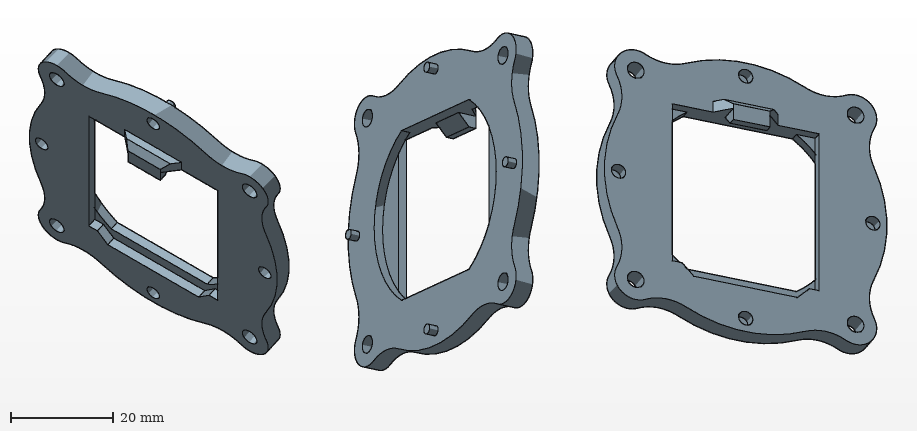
import cadquery as cq
import math

PLATE_THICKNESS = 4.0
SIDES = 4
RIM_RADIUS = 30.0
LOBE_RADIUS = 4.5
BLEND_RADIUS = 10.0
HOLE_CIRCLE_RADIUS = 33.0
HOLE_DIAMETER = 3.5
HOLE_OFFSET = HOLE_CIRCLE_RADIUS * math.sqrt(0.5)

PIN_CIRCLE_RADIUS = 27.0
PIN_DIAMETER = 2.0
PIN_LENGTH = 2.0
SOCKET_DIAMETER = 3.0
SOCKET_DEPTH = 2.5

WINDOW_WIDTH = 31.2
WINDOW_HEIGHT = 35.0
WINDOW_STEP_DEPTH = 2.0
BACK_OPENING_RADIUS = 21.0
WINDOW_HALF_HEIGHT = WINDOW_HEIGHT / 2

NOTCH_HEIGHT = 2.5
NOTCH_FLOOR_WIDTH = 22.0

CLIP_PROJECTION = 3.0
CLIP_TIP_WIDTH = 7.8
CLIP_ROOT_WIDTH = CLIP_TIP_WIDTH + 2 * CLIP_PROJECTION
CLIP_RISE = 2.4
CLIP_DROP = 2.5
CLIP_TOP_CHAMFER = 1.4
CLIP_TIP_THICKNESS = 1.65


def front_plane(depth=0.0):
    """Sketch plane parallel to XZ at Y = depth; negative extrusions run towards +Y."""
    return cq.Workplane("XZ", origin=(0, depth, 0))


def polar(radius, angle):
    return (radius * math.cos(angle), radius * math.sin(angle))


def rotated(point, angle):
    x, z = point
    return (
        x * math.cos(angle) - z * math.sin(angle),
        x * math.sin(angle) + z * math.cos(angle),
    )


def point_from(start, end, distance):
    """Point at the given distance from start, in the direction of end."""
    fraction = distance / math.dist(start, end)
    return (
        start[0] + fraction * (end[0] - start[0]),
        start[1] + fraction * (end[1] - start[1]),
    )


def make_plate():
    rim_to_blend = RIM_RADIUS + BLEND_RADIUS
    lobe_to_blend = LOBE_RADIUS + BLEND_RADIUS
    cosine = (rim_to_blend**2 + HOLE_CIRCLE_RADIUS**2 - lobe_to_blend**2) / (
        2 * rim_to_blend * HOLE_CIRCLE_RADIUS
    )
    lobe_angle = math.pi / 4
    blend_angle = lobe_angle - math.acos(cosine)

    origin = (0.0, 0.0)
    lobe_center = polar(HOLE_CIRCLE_RADIUS, lobe_angle)
    blend_center = polar(rim_to_blend, blend_angle)
    rim_end = polar(RIM_RADIUS, blend_angle)
    rim_start = polar(RIM_RADIUS, -blend_angle)
    blend_end = point_from(lobe_center, blend_center, LOBE_RADIUS)
    chord_middle = (
        (rim_end[0] + blend_end[0]) / 2,
        (rim_end[1] + blend_end[1]) / 2,
    )
    blend_middle = point_from(blend_center, chord_middle, BLEND_RADIUS)
    lobe_tip = point_from(origin, lobe_center, HOLE_CIRCLE_RADIUS + LOBE_RADIUS)

    quarter_arcs = [
        ((RIM_RADIUS, 0.0), rim_end),
        (blend_middle, blend_end),
        (lobe_tip, blend_end[::-1]),
        (blend_middle[::-1], rim_end[::-1]),
    ]
    outline = front_plane().moveTo(*rim_start)
    for side in range(SIDES):
        turn = side * 2 * math.pi / SIDES
        for middle, end in quarter_arcs:
            outline = outline.threePointArc(rotated(middle, turn), rotated(end, turn))
    return outline.close().extrude(-PLATE_THICKNESS)


def cut_window(body):
    front_window = front_plane().rect(WINDOW_WIDTH, WINDOW_HEIGHT).extrude(-WINDOW_STEP_DEPTH)
    back_depth = PLATE_THICKNESS - WINDOW_STEP_DEPTH
    back_plane = front_plane(WINDOW_STEP_DEPTH)
    back_round = back_plane.circle(BACK_OPENING_RADIUS).extrude(-back_depth)
    back_band = back_plane.rect(2 * BACK_OPENING_RADIUS, WINDOW_HEIGHT).extrude(-back_depth)
    return body.cut(front_window).cut(back_round.intersect(back_band))


def cut_notch(body):
    floor_half = NOTCH_FLOOR_WIDTH / 2
    mouth_half = floor_half + NOTCH_HEIGHT
    mouth_z = -WINDOW_HALF_HEIGHT
    floor_z = mouth_z - NOTCH_HEIGHT
    corners = [
        (-mouth_half, mouth_z),
        (-floor_half, floor_z),
        (floor_half, floor_z),
        (mouth_half, mouth_z),
    ]
    notch = front_plane().polyline(corners).close().extrude(-WINDOW_STEP_DEPTH)
    return body.cut(notch)


def cut_corner_holes(body):
    spacing = 2 * HOLE_OFFSET
    holes = (
        front_plane()
        .rect(spacing, spacing, forConstruction=True)
        .vertices()
        .circle(HOLE_DIAMETER / 2)
        .extrude(-PLATE_THICKNESS)
    )
    return body.cut(holes)


def side_cylinders(start_depth, diameter, length):
    """Four cylinders along +Y, one at the middle of each side of the plate."""
    return (
        front_plane(start_depth)
        .polarArray(PIN_CIRCLE_RADIUS, 0, 360, SIDES)
        .circle(diameter / 2)
        .extrude(-length)
    )


def make_clip():
    edge_z = WINDOW_HALF_HEIGHT
    top_z = edge_z + CLIP_RISE
    bottom_z = edge_z - CLIP_DROP
    hang_y = CLIP_TIP_THICKNESS - CLIP_PROJECTION

    profile = [
        (0, top_z),
        (CLIP_TOP_CHAMFER - CLIP_PROJECTION, top_z),
        (-CLIP_PROJECTION, top_z - CLIP_TOP_CHAMFER),
        (-CLIP_PROJECTION, bottom_z),
        (hang_y, bottom_z),
        (hang_y + CLIP_DROP, edge_z),
        (0, edge_z),
    ]
    bar = (
        cq.Workplane("YZ")
        .polyline(profile)
        .close()
        .extrude(CLIP_ROOT_WIDTH / 2, both=True)
    )

    flare = (
        cq.Workplane("XY", origin=(0, 0, edge_z))
        .polyline([
            (-CLIP_ROOT_WIDTH / 2, 0),
            (-CLIP_TIP_WIDTH / 2, -CLIP_PROJECTION),
            (CLIP_TIP_WIDTH / 2, -CLIP_PROJECTION),
            (CLIP_ROOT_WIDTH / 2, 0),
        ])
        .close()
        .extrude(CLIP_RISE)
    )
    hook = (
        cq.Workplane("XY", origin=(0, 0, bottom_z))
        .rect(CLIP_TIP_WIDTH, 2 * CLIP_PROJECTION)
        .extrude(CLIP_DROP)
    )
    return bar.intersect(flare.union(hook))


plate = cut_corner_holes(cut_notch(cut_window(make_plate())))
plate = plate.cut(side_cylinders(0, SOCKET_DIAMETER, SOCKET_DEPTH))
pins = side_cylinders(PLATE_THICKNESS, PIN_DIAMETER, PIN_LENGTH)
result = plate.union(pins).union(make_clip())